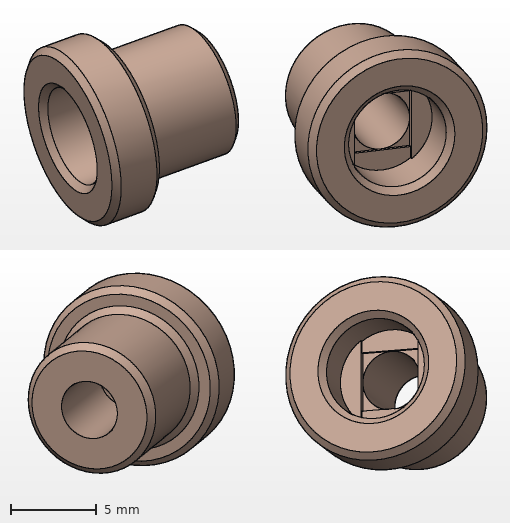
import cadquery as cq

flange_diameter = 11.0
flange_length = 3.2
body_diameter = 8.0
total_length = 9.4
bore_diameter = 6.0
bore_depth = 3.0
hole_diameter = 3.5
chamfer = 0.4
step_depth = 0.2

flange_radius = flange_diameter / 2
body_radius = body_diameter / 2
bore_radius = bore_diameter / 2


def cylinder(diameter, start, length):
    """Cylinder along +Y, starting at Y = start."""
    plane = cq.Workplane("XZ", origin=(0, start, 0))
    return plane.circle(diameter / 2).extrude(-length)


def revolved(points):
    """Solid of revolution about Y from (radius, y) points."""
    return cq.Workplane("XY").polyline(points).close().revolve(360, (0, 0, 0), (0, 1, 0))


def flanged_body():
    """Chamfered flange and body with a conical collar between them."""
    return revolved([
        (0, 0),
        (flange_radius - chamfer, 0),
        (flange_radius, chamfer),
        (flange_radius, flange_length - chamfer),
        (flange_radius - chamfer, flange_length),
        (body_radius + chamfer, flange_length),
        (body_radius, flange_length + chamfer),
        (body_radius, total_length - chamfer),
        (body_radius - chamfer, total_length),
        (0, total_length),
    ])


def bore():
    """Blind bore with a chamfered mouth."""
    return revolved([
        (0, 0),
        (bore_radius + chamfer, 0),
        (bore_radius, chamfer),
        (bore_radius, bore_depth),
        (0, bore_depth),
    ])


def floor_slot():
    """Slot across the bore floor, as wide as the hole and ending at the bore wall."""
    plane = cq.Workplane("XZ", origin=(0, bore_depth, 0))
    strip = plane.rect(hole_diameter, bore_diameter).extrude(-step_depth)
    return strip.intersect(cylinder(bore_diameter, bore_depth, step_depth))


def floor_square():
    """Square recess below the slot, circumscribing the hole."""
    plane = cq.Workplane("XZ", origin=(0, bore_depth + step_depth, 0))
    return plane.rect(hole_diameter, hole_diameter).extrude(-step_depth)


through_hole = cylinder(hole_diameter, 0, total_length)

result = flanged_body().cut(bore()).cut(floor_slot()).cut(floor_square()).cut(through_hole)